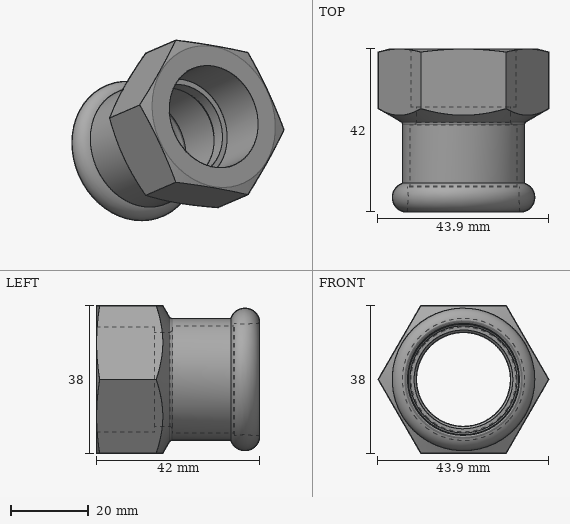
import cadquery as cq
import math


across_corners = 43.9
total_length = 42.0
corner_radius = across_corners / 2

front_cone_angle = 30.0
front_corner_y = 26.6
back_chamfer_angle = 15.0
back_flat_radius = 18.75

tube_radius = 31.4 / 2
bead_radius = 18.35
bead_length = 7.4
bead_crest_y = 3.77
mouth_radius = 15.1
neck_fillet = 0.75

lip_radius = 28.8 / 2
lip_length = 0.5
seal_radius = 28.4 / 2
seal_start_y = 2.15
seal_end_y = 5.35
entry_end_y = 6.4
entry_taper_length = 0.35

socket_radius = 13.8
socket_depth = 22.4
throat_radius = 24.15 / 2
throat_entry_radius = 25.4 / 2
thread_radius = 27.0 / 2
thread_depth = 14.9


front_slope = math.tan(math.radians(front_cone_angle))
root_y = front_corner_y - (corner_radius - tube_radius) * front_slope


def revolve_about_y(profile):
    """Turn a closed profile, drawn as (radius, Y), into a solid."""
    return profile.close().revolve(360, (0, 0, 0), (0, 1, 0))


def make_hexagon_end():
    """Hexagonal prism trimmed by a cone at each end."""
    back_drop = (corner_radius - back_flat_radius) * math.tan(math.radians(back_chamfer_angle))
    prism = (
        cq.Workplane("XZ", origin=(0, root_y, 0))
        .polygon(6, across_corners)
        .extrude(-(total_length - root_y))
    )
    envelope = revolve_about_y(
        cq.Workplane("XY")
        .moveTo(0, root_y)
        .lineTo(tube_radius, root_y)
        .lineTo(corner_radius, front_corner_y)
        .lineTo(corner_radius, total_length - back_drop)
        .lineTo(back_flat_radius, total_length)
        .lineTo(0, total_length)
    )
    return prism.intersect(envelope)


def make_neck_fillet():
    """Solid disc whose rim blends the tube tangentially into the front cone."""
    turn = math.radians(90 - front_cone_angle)
    center_r = tube_radius + neck_fillet
    start_y = root_y - neck_fillet * math.tan(turn / 2)

    def rim_point(swept):
        return (
            center_r - neck_fillet * math.cos(swept),
            start_y + neck_fillet * math.sin(swept),
        )

    end = rim_point(turn)
    return revolve_about_y(
        cq.Workplane("XY")
        .moveTo(0, start_y)
        .lineTo(tube_radius, start_y)
        .threePointArc(rim_point(turn / 2), end)
        .lineTo(0, end[1])
    )


def make_tube_and_bead():
    """Solid tube body with the rounded bead at its mouth."""
    tube = (
        cq.Workplane("XZ", origin=(0, bead_crest_y, 0))
        .circle(tube_radius)
        .extrude(bead_crest_y - front_corner_y)
    )
    bead = revolve_about_y(
        cq.Workplane("XY")
        .lineTo(mouth_radius, 0)
        .threePointArc((bead_radius, bead_crest_y), (tube_radius, bead_length))
        .lineTo(0, bead_length)
    )
    return tube.union(bead)


def make_bore():
    """Stepped passage with the convex seal ring, socket, throat and thread bore."""
    lip_width = mouth_radius - lip_radius
    arc_inset = 1 - math.sqrt(0.5)
    lip_middle = (lip_radius + lip_width * arc_inset, lip_length * arc_inset)
    seal_crest = (seal_radius, (seal_start_y + seal_end_y) / 2)
    throat_bevel = throat_entry_radius - throat_radius
    thread_start_y = total_length - thread_depth
    return revolve_about_y(
        cq.Workplane("XY")
        .lineTo(mouth_radius, 0)
        .threePointArc(lip_middle, (lip_radius, lip_length))
        .lineTo(lip_radius, seal_start_y)
        .threePointArc(seal_crest, (lip_radius, seal_end_y))
        .lineTo(lip_radius, entry_end_y)
        .lineTo(socket_radius, entry_end_y + entry_taper_length)
        .lineTo(socket_radius, socket_depth)
        .lineTo(throat_entry_radius, socket_depth)
        .lineTo(throat_radius, socket_depth + throat_bevel)
        .lineTo(throat_radius, thread_start_y)
        .lineTo(thread_radius, thread_start_y)
        .lineTo(thread_radius, total_length)
        .lineTo(0, total_length)
    )


body = make_tube_and_bead().union(make_hexagon_end()).union(make_neck_fillet())
result = body.cut(make_bore())